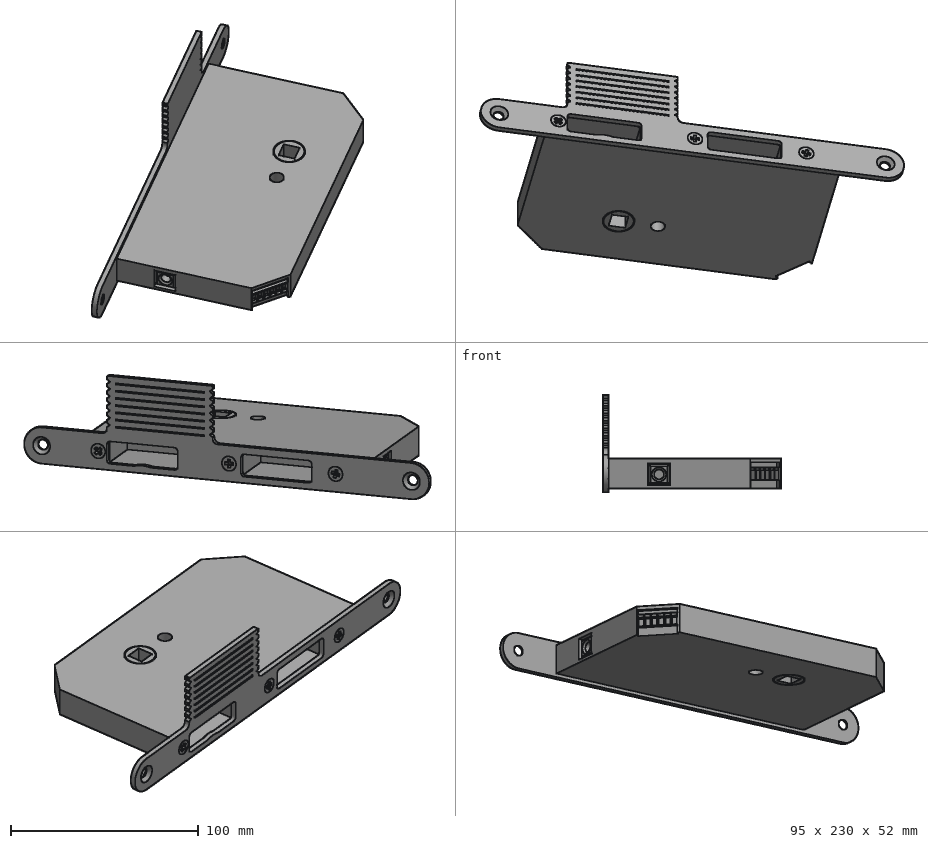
import cadquery as cq
import math

plate_length = 230.0
plate_height = 20.0
plate_thickness = 3.0
overall_height = 52.0
tab_width = 60.0
tab_center_y = 38.0
tab_root_fillet = 3.0
tab_corner_chamfer = 0.5

score_count = 7
score_span = 24.0
score_pitch = score_span / (score_count - 1)
score_length = 50.1
score_width = 0.58
score_depth = 0.7
first_score_z = 14.0
notch_rise = 1.0
notch_depth = 1.5
notch_opening = 2.5

mount_hole_inset = plate_height / 2
mount_hole_diameter = 5.5
mount_sink_diameter = 9.7

window_width = 40.2
window_height = 12.5
window_corner_radius = 2.0
window_z = -0.2
latch_window_y = 47.8
dead_window_y = -28.3
latch_pocket_step = 0.5
pocket_depth = 27.5
bump_width = 9.7
bump_rise = 0.7

overall_depth = 95.0
case_depth = overall_depth - plate_thickness
case_length = 160.0
case_height = 16.0
case_center_y = -0.5
case_corner = 16.5
case_low_y = case_center_y - case_length / 2

hub_x = 64.9
hub_y = 27.4
hub_diameter = 16.0
hub_bore_diameter = 17.0
hub_square = 9.0
key_hole_diameter = 7.5
hub_to_key_hole = 21.5
key_hole_y = hub_y - hub_to_key_hole

block_x = 30.0
block_z = -0.5
block_recess_width = 12.0
block_recess_height = 11.7
block_recess_depth = 11.5
block_gap = 0.58
block_setback = 1.0
block_chamfer = 1.0
block_bore_diameter = 5.3
block_sink_diameter = 7.5
block_sink_angle = 90
block_bore_depth = 5.8

corner_recess_length = 21.6
corner_recess_shift = -0.5
corner_recess_depth = 2.0
corner_recess_top_z = 6.0
band_top_z = 3.5
band_bottom_z = -3.5
band_edge = 0.2
slot_count = 6
slot_pitch = corner_recess_length / slot_count
slot_rib = 0.5
slot_width = slot_pitch - slot_rib
slot_depth = 3.2
slot_lead_depth = 0.7
slot_lead_height = 1.4
slot_top_z = band_top_z - band_edge
slot_bottom_z = band_bottom_z + band_edge

screw_places = [(73.0, 45), (-1.4, 0), (-61.9, 15)]
screw_head_diameter = 8.0
screw_shank_diameter = 4.0
screw_length = 13.8
cross_length = 4.5
cross_floor_length = 1.8
cross_width = 1.4
cross_depth = 1.5


def plane_facing_minus_x(x, y=0.0, z=0.0):
    """Plane with local x along -Y, local y along +Z, extruding toward -X."""
    return cq.Workplane(cq.Plane(origin=(x, y, z), xDir=(0, -1, 0), normal=(-1, 0, 0)))


def block_between(x_range, y_range, z_range):
    """Axis-aligned box given by its limits."""
    (x0, x1), (y0, y1), (z0, z1) = x_range, y_range, z_range
    return cq.Workplane("XY").box(x1 - x0, y1 - y0, z1 - z0, centered=False).translate((x0, y0, z0))


def countersunk_pin(y, head_diameter, shank_diameter, length):
    """Pin along +X from X = 0 with a 90-degree countersunk head."""
    head_radius = head_diameter / 2
    shank_radius = shank_diameter / 2
    profile = [
        (0, 0),
        (0, head_radius),
        (head_radius - shank_radius, shank_radius),
        (length, shank_radius),
        (length, 0),
    ]
    pin = cq.Workplane("XY").polyline(profile).close().revolve(360, (0, 0, 0), (1, 0, 0))
    return pin.translate((0, y, 0))


def make_window(center_y):
    """Rounded window through the faceplate."""
    window = plane_facing_minus_x(plate_thickness, center_y, window_z)
    window = window.rect(window_width, window_height).extrude(plate_thickness)
    return window.edges("|X").fillet(window_corner_radius)


def make_window_bump():
    """Shallow arched rise on the lower edge of the latch window."""
    sill_z = -window_height / 2
    return (
        plane_facing_minus_x(plate_thickness, latch_window_y, window_z)
        .moveTo(-bump_width / 2, sill_z)
        .threePointArc((0, sill_z + bump_rise), (bump_width / 2, sill_z))
        .close()
        .extrude(plate_thickness)
    )


def make_tab():
    """Break-off tab with notched sides and scored lines."""
    tab_top = overall_height - plate_height / 2
    low_y = tab_center_y - tab_width / 2
    high_y = tab_center_y + tab_width / 2
    tab = block_between((0, plate_thickness), (low_y, high_y), (0, tab_top))
    tab = tab.edges("|X and >Z").chamfer(tab_corner_chamfer)
    for i in range(score_count):
        score_z = first_score_z + i * score_pitch
        score = cq.Workplane("XY").box(2 * score_depth, score_length, score_width)
        tab = tab.cut(score.translate((0, tab_center_y, score_z)))
        notch_z = score_z + notch_rise
        for edge_y, inward in ((low_y, 1), (high_y, -1)):
            notch = cq.Workplane("YZ").polyline([
                (edge_y, notch_z - notch_opening / 2),
                (edge_y + inward * notch_depth, notch_z),
                (edge_y, notch_z + notch_opening / 2),
            ]).close().extrude(plate_thickness)
            tab = tab.cut(notch)
    return tab


def make_faceplate():
    plate = plane_facing_minus_x(plate_thickness).slot2D(plate_length, plate_height)
    plate = plate.extrude(plate_thickness).union(make_tab())
    root_z = plate_height / 2
    selector_margin = 0.2
    root = cq.selectors.BoxSelector(
        (-selector_margin, tab_center_y - tab_width, root_z - selector_margin),
        (plate_thickness + selector_margin, tab_center_y + tab_width, root_z + selector_margin),
    )
    plate = plate.edges("|X").edges(root).fillet(tab_root_fillet)

    for center_y in (latch_window_y, dead_window_y):
        plate = plate.cut(make_window(center_y))
    plate = plate.union(make_window_bump())

    mount_y = plate_length / 2 - mount_hole_inset
    for y in (-mount_y, mount_y):
        plate = plate.cut(countersunk_pin(y, mount_sink_diameter, mount_hole_diameter, plate_thickness))
    for y, _ in screw_places:
        plate = plate.cut(countersunk_pin(y, screw_head_diameter, screw_shank_diameter, screw_length))
    return plate


def corner_point(along, inward):
    """Point at mid-height on the -Y corner face, offset along it and into the case."""
    half = math.sqrt(0.5)
    mid_x = overall_depth - case_corner / 2
    mid_y = case_low_y + case_corner / 2
    return (mid_x + half * (along - inward), mid_y + half * (along + inward), 0)


def cut_corner_recess(case):
    """Shallow recess in the -Y corner face, above and below a flush band of slots."""
    face = cq.Plane(origin=corner_point(0, 0), xDir=(1, 1, 0), normal=(1, -1, 0))
    for low_z, high_z in ((band_top_z, corner_recess_top_z), (-case_height / 2, band_bottom_z)):
        recess = cq.Workplane(face).center(corner_recess_shift, (low_z + high_z) / 2)
        recess = recess.rect(corner_recess_length, high_z - low_z).extrude(-corner_recess_depth)
        case = case.cut(recess)

    slot_profile = [
        (0, slot_bottom_z),
        (0, slot_top_z),
        (slot_lead_depth, slot_top_z - slot_lead_height),
        (slot_depth, slot_top_z - slot_lead_height),
        (slot_depth, slot_bottom_z),
    ]
    for i in range(slot_count):
        slot_center = corner_recess_shift + (i - (slot_count - 1) / 2) * slot_pitch
        start = corner_point(slot_center - slot_width / 2, 0)
        section = cq.Plane(origin=start, xDir=(-1, 1, 0), normal=(1, 1, 0))
        case = case.cut(cq.Workplane(section).polyline(slot_profile).close().extrude(slot_width))
    return case


def make_case():
    case = cq.Workplane("XY").box(case_depth, case_length, case_height)
    case = case.translate((plate_thickness + case_depth / 2, case_center_y, 0))
    case = case.edges("|Z and >X").chamfer(case_corner)

    half_width = window_width / 2
    pocket_z = (window_z - window_height / 2, window_z + window_height / 2)
    pocket_x = (plate_thickness, plate_thickness + pocket_depth)
    for center_y, step in ((latch_window_y, latch_pocket_step), (dead_window_y, 0)):
        pocket_y = (center_y - half_width, center_y + half_width - step)
        case = case.cut(block_between(pocket_x, pocket_y, pocket_z))

    for y, diameter in ((hub_y, hub_bore_diameter), (key_hole_y, key_hole_diameter)):
        hole = cq.Workplane("XY").center(hub_x, y).circle(diameter / 2)
        case = case.cut(hole.extrude(case_height, both=True))

    recess = cq.Workplane("XY").box(block_recess_width, block_recess_depth, block_recess_height)
    case = case.cut(recess.translate((block_x, case_low_y + block_recess_depth / 2, block_z)))

    case = cut_corner_recess(case)
    for y, _ in screw_places:
        case = case.cut(countersunk_pin(y, screw_head_diameter, screw_shank_diameter, screw_length))
    return case


def make_hub():
    hub = cq.Workplane("XY").circle(hub_diameter / 2).rect(hub_square, hub_square)
    return hub.extrude(case_height).translate((hub_x, hub_y, -case_height / 2))


def make_insert_block():
    """Square block resting on the recess floor, with a countersunk blind bore."""
    depth = block_recess_depth - block_setback
    width = block_recess_width - 2 * block_gap
    height = block_recess_height - 2 * block_gap
    block = cq.Workplane("XY").box(width, depth, height)
    block = block.faces("<Y").chamfer(block_chamfer)
    block = block.faces("<Y").workplane(centerOption="CenterOfBoundBox")
    block = block.cskHole(block_bore_diameter, block_sink_diameter, block_sink_angle, block_bore_depth)
    return block.translate((block_x, case_low_y + block_setback + depth / 2, block_z))


def make_screw(y, cross_angle):
    screw = countersunk_pin(y, screw_head_diameter, screw_shank_diameter, screw_length)
    arm_profile = [
        (0, -cross_length / 2),
        (0, cross_length / 2),
        (cross_depth, cross_floor_length / 2),
        (cross_depth, -cross_floor_length / 2),
    ]
    arm = cq.Workplane("XY").polyline(arm_profile).close().extrude(cross_width / 2, both=True)
    for angle in (cross_angle, cross_angle + 90):
        screw = screw.cut(arm.rotate((0, 0, 0), (1, 0, 0), angle).translate((0, y, 0)))
    return screw


faceplate = make_faceplate()
case = make_case()
hub = make_hub()
insert_block = make_insert_block()
screws = [make_screw(y, angle) for y, angle in screw_places]

result = cq.Compound.makeCompound([
    faceplate.val(),
    case.val(),
    hub.val(),
    insert_block.val(),
    *[screw.val() for screw in screws],
])